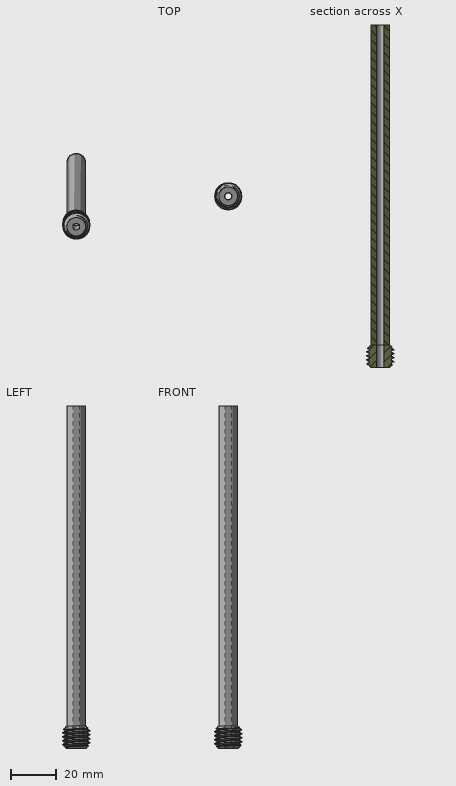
import cadquery as cq
import math

bore_diameter = 3.0

plug_length = 10.0
thread_diameter = 11.83
thread_pitch = 1.75
thread_angle = 60.0
thread_depth = 1.1
crest_width = 0.15
thread_phase = 95.0

overall_length = 150.0
tube_diameter = 8.2
tube_length = overall_length - plug_length

bore_radius = bore_diameter / 2
tube_radius = tube_diameter / 2
thread_radius = thread_diameter / 2
root_radius = thread_radius - thread_depth
end_chamfer = thread_radius - tube_radius

groove_overshoot = 0.1
groove_start = -1.5 * thread_pitch
groove_length = plug_length + 3 * thread_pitch


def make_tube():
    return (
        cq.Workplane("XY", origin=(0, 0, plug_length))
        .circle(tube_radius)
        .circle(bore_radius)
        .extrude(tube_length)
    )


def make_thread_groove():
    """Helical cutter with straight flanks and a narrow flat root."""
    flank_slope = math.tan(math.radians(thread_angle / 2))
    outer_radius = thread_radius + groove_overshoot
    outer_half_width = (thread_pitch - crest_width) / 2 + groove_overshoot * flank_slope
    root_half_width = outer_half_width - (outer_radius - root_radius) * flank_slope
    helix = cq.Wire.makeHelix(thread_pitch, groove_length, root_radius)
    groove = (
        cq.Workplane("XZ")
        .moveTo(root_radius, -root_half_width)
        .lineTo(outer_radius, -outer_half_width)
        .lineTo(outer_radius, outer_half_width)
        .lineTo(root_radius, root_half_width)
        .close()
        .sweep(cq.Workplane(helix), isFrenet=True)
    )
    return groove.translate((0, 0, groove_start)).rotate((0, 0, 0), (0, 0, 1), thread_phase)


def make_plug():
    """Bored cylinder with chamfered ends and the thread cut into it."""
    blank = (
        cq.Workplane("XY")
        .circle(thread_radius)
        .circle(bore_radius)
        .extrude(plug_length)
        .edges("%CIRCLE")
        .edges(cq.selectors.RadiusNthSelector(-1))
        .chamfer(end_chamfer)
    )
    return blank.cut(make_thread_groove())


plug = make_plug()
tube = make_tube()

result = cq.Compound.makeCompound([plug.solids().val(), tube.val()])